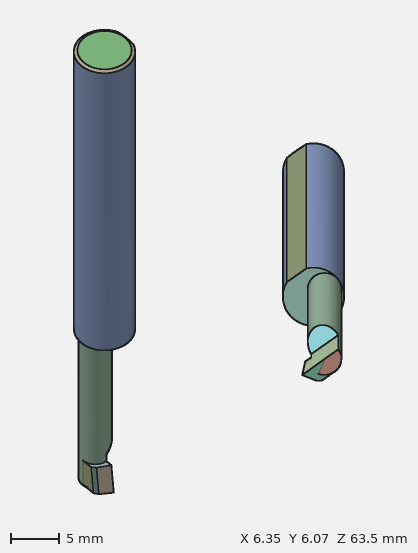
import cadquery as cq

total_length = 63.5
shank_diameter = 6.35
shank_bottom = 22.85
shank_radius = shank_diameter / 2
flat_distance = 2.9

chamfer_width = 0.4
chamfer_height = 0.2

neck_diameter = 3.5
neck_radius = neck_diameter / 2
neck_x = neck_radius - shank_radius
neck_bottom = 0.1

relief_height = 4.75
relief_slope_rise = 1.4

head_height = 3.75
head_reach = 1.45
head_taper = 0.4
front_facet_x = 0.25
facet_break_x = 0.7
facet_break_y = -1.4
tip_clearance = 0.1


def make_shank():
    """Chamfered round bar with one full-length flat on the +Y side."""
    bar = cq.Workplane("XZ").polyline([
        (0, shank_bottom),
        (shank_radius, shank_bottom),
        (shank_radius, total_length - chamfer_height),
        (shank_radius - chamfer_width, total_length),
        (0, total_length),
    ]).close().revolve(360, (0, 0), (0, 1))
    flat_cutter = cq.Workplane("XY").box(
        shank_diameter, shank_diameter, total_length, centered=(True, False, False)
    ).translate((0, flat_distance, 0))
    return bar.cut(flat_cutter)


def make_neck():
    """Offset round neck with the sloped relief cut on its +Y half."""
    neck = (
        cq.Workplane("XY", origin=(neck_x, 0, neck_bottom))
        .circle(neck_radius)
        .extrude(shank_bottom - neck_bottom)
    )
    relief = cq.Workplane("YZ").polyline([
        (0, 0),
        (0, relief_height),
        (neck_radius, relief_height + relief_slope_rise),
        (neck_radius, 0),
    ]).close().extrude(shank_radius, both=True)
    return neck.cut(relief)


def head_outline(taper):
    """Outline of the head at one level, with two relief facets behind the edge."""
    return [
        (neck_x, 0),
        (neck_x, -neck_radius),
        (front_facet_x - taper, -neck_radius),
        (facet_break_x - taper, facet_break_y),
        (head_reach - taper, 0),
    ]


def make_head():
    """Tapered cutting head whose end face drops toward the cutting edge."""
    head = (
        cq.Workplane("XY")
        .polyline(head_outline(0)).close()
        .workplane(offset=head_height)
        .polyline(head_outline(head_taper)).close()
        .loft(ruled=True)
    )
    end_plane = cq.Plane(
        origin=(head_reach, 0, 0),
        xDir=(head_reach - neck_x, 0, -tip_clearance),
        normal=(tip_clearance / (head_reach - neck_x), tip_clearance / neck_radius, 1),
    )
    cutter_size = 2 * shank_diameter
    below_end = cq.Workplane(end_plane).rect(cutter_size, cutter_size).extrude(-shank_radius)
    return head.cut(below_end)


result = make_shank().union(make_neck()).union(make_head())